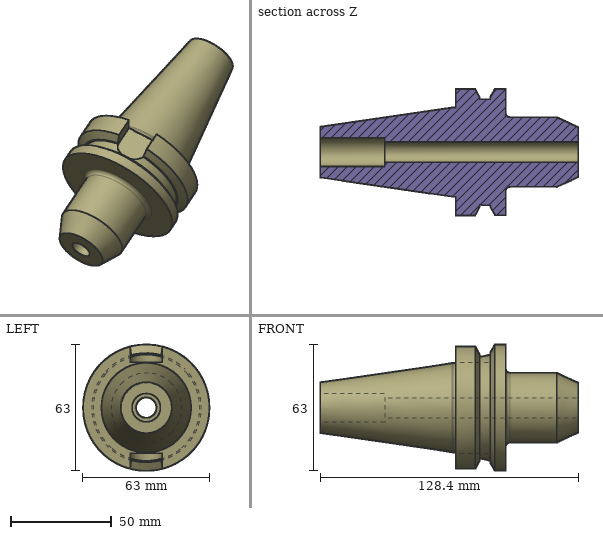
import cadquery as cq
import math

total_length = 128.4
gauge_x = 65.4
rim_x = 65.9
flange_front_x = 67.4
groove_start_x = 77.2
groove_floor_start_x = 79.5
groove_floor_end_x = 84.5
groove_end_x = 86.9
flange_back_x = 92.3
nose_chamfer_x = 117.6

gauge_radius = 22.2
taper_ratio = 7 / 24
small_end_radius = gauge_radius - gauge_x * taper_ratio / 2
rim_radius = 22.3
flange_diameter = 63.0
flange_radius = flange_diameter / 2
groove_floor_radius = 26.5
groove_step_radius = 27.2
nose_radius = 17.5
nose_tip_radius = 12.5
nose_fillet = 2.0

through_hole_radius = 5.0
drawbar_bore_radius = 7.0
drawbar_bore_depth = 32.1

slot_width = 15.9
slot_floor_z = 22.6


def make_body():
    """Revolve the taper, grooved flange and nose about the X axis."""
    fillet_middle = nose_fillet * (1 - math.sqrt(0.5))
    profile = (
        cq.Workplane("XY")
        .lineTo(0, small_end_radius)
        .lineTo(gauge_x, gauge_radius)
        .lineTo(rim_x, rim_radius)
        .lineTo(flange_front_x, rim_radius)
        .lineTo(flange_front_x, flange_radius)
        .lineTo(groove_start_x, flange_radius)
        .lineTo(groove_floor_start_x, groove_step_radius)
        .lineTo(groove_floor_start_x, groove_floor_radius)
        .lineTo(groove_floor_end_x, groove_floor_radius)
        .lineTo(groove_floor_end_x, groove_step_radius)
        .lineTo(groove_end_x, flange_radius)
        .lineTo(flange_back_x, flange_radius)
        .lineTo(flange_back_x, nose_radius + nose_fillet)
        .threePointArc(
            (flange_back_x + fillet_middle, nose_radius + fillet_middle),
            (flange_back_x + nose_fillet, nose_radius),
        )
        .lineTo(nose_chamfer_x, nose_radius)
        .lineTo(total_length, nose_tip_radius)
        .lineTo(total_length, 0)
        .close()
    )
    return profile.revolve(360, (0, 0, 0), (1, 0, 0))


def make_bore():
    """Through hole, widened from the small end of the taper."""
    through_hole = cq.Workplane("YZ").circle(through_hole_radius).extrude(total_length)
    drawbar_bore = cq.Workplane("YZ").circle(drawbar_bore_radius).extrude(drawbar_bore_depth)
    return through_hole.union(drawbar_bore)


def make_drive_slot():
    """Slot on the +Z side, open at the flange front and ending in a half circle."""
    half_width = slot_width / 2
    round_center_x = groove_floor_end_x - half_width
    return (
        cq.Workplane("XY", origin=(0, 0, slot_floor_z))
        .moveTo(flange_front_x, -half_width)
        .lineTo(round_center_x, -half_width)
        .threePointArc((groove_floor_end_x, 0), (round_center_x, half_width))
        .lineTo(flange_front_x, half_width)
        .close()
        .extrude(flange_radius)
    )


result = make_body().cut(make_bore())
for slot_angle in (0, 180):
    result = result.cut(make_drive_slot().rotate((0, 0, 0), (1, 0, 0), slot_angle))